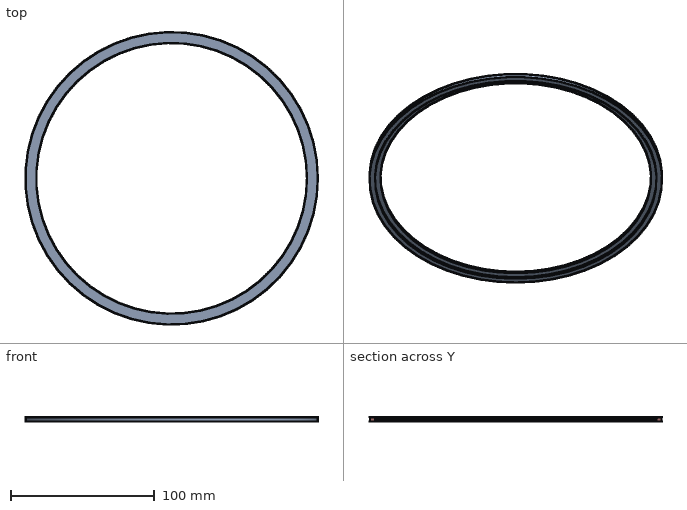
import cadquery as cq

outer_diameter = 203.5
bore_diameter = 188.1
thickness = 3.0
lip_thickness = thickness / 2

recess_diameter = (outer_diameter + bore_diameter) / 2
recess_depth = thickness - lip_thickness

ring = (
    cq.Workplane("XY")
    .circle(outer_diameter / 2)
    .circle(bore_diameter / 2)
    .extrude(thickness)
)

recess = cq.Workplane("XY").circle(recess_diameter / 2).extrude(recess_depth)

result = ring.cut(recess)